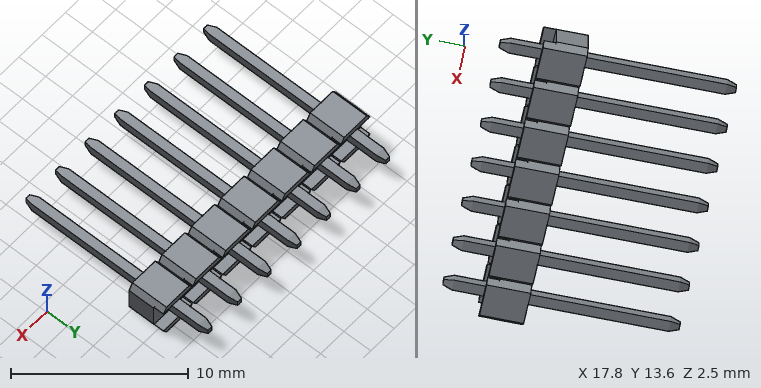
import cadquery as cq


pin_count = 7
housing_length = 17.78
pitch = housing_length / pin_count
housing_depth = pitch
housing_height = 2.5
bevel_width = 0.3
bevel_height = 0.45

channel_depth = 0.7
lip_thickness = 0.4

pin_size = 0.64
tip_size = 0.34
tip_length = 0.57
pin_length = 13.6
short_end = 2.31
pin_offset = -0.1

front_y = -housing_depth / 2
back_y = housing_depth / 2
pin_back_y = back_y + short_end
pin_front_y = pin_back_y - pin_length


def cell_centre(index):
    return (index - (pin_count - 1) / 2) * pitch


def make_cell(x):
    """One octagonal housing cell centred on x; the bevels of neighbours form V notches."""
    half_width = pitch / 2
    half_height = housing_height / 2
    flat = half_width - bevel_width
    side = half_height - bevel_height
    outline = [
        (x - flat, half_height),
        (x + flat, half_height),
        (x + half_width, side),
        (x + half_width, -side),
        (x + flat, -half_height),
        (x - flat, -half_height),
        (x - half_width, -side),
        (x - half_width, side),
    ]
    plane = cq.Workplane("XZ", origin=(0, back_y, 0))
    return plane.polyline(outline).close().extrude(housing_depth)


def make_channel():
    """The full-length channel to remove from the +Y face."""
    channel_height = housing_height - 2 * lip_thickness
    channel = cq.Workplane("XY").box(housing_length, channel_depth, channel_height)
    return channel.translate((0, back_y - channel_depth / 2, 0))


def make_tip(x, base_y, plane_name):
    """A tapered pin tip growing from base_y along the normal of the named plane."""
    base = cq.Workplane(plane_name, origin=(x, base_y, 0)).rect(pin_size, pin_size)
    return base.workplane(offset=tip_length).rect(tip_size, tip_size).loft(ruled=True)


def make_pin(x):
    """A square pin with a tapered tip at each end."""
    shank_back_y = pin_back_y - tip_length
    shank_front_y = pin_front_y + tip_length
    shank = (
        cq.Workplane("XZ", origin=(x, shank_back_y, 0))
        .rect(pin_size, pin_size)
        .extrude(shank_back_y - shank_front_y)
    )
    front_tip = make_tip(x, shank_front_y, "XZ")
    back_tip = make_tip(x, shank_back_y, "ZX")
    return shank.union(front_tip).union(back_tip)


housing = make_cell(cell_centre(0))
for i in range(1, pin_count):
    housing = housing.union(make_cell(cell_centre(i)))
housing = housing.clean().cut(make_channel())

result = housing
for i in range(pin_count):
    result = result.union(make_pin(cell_centre(i) + pin_offset))